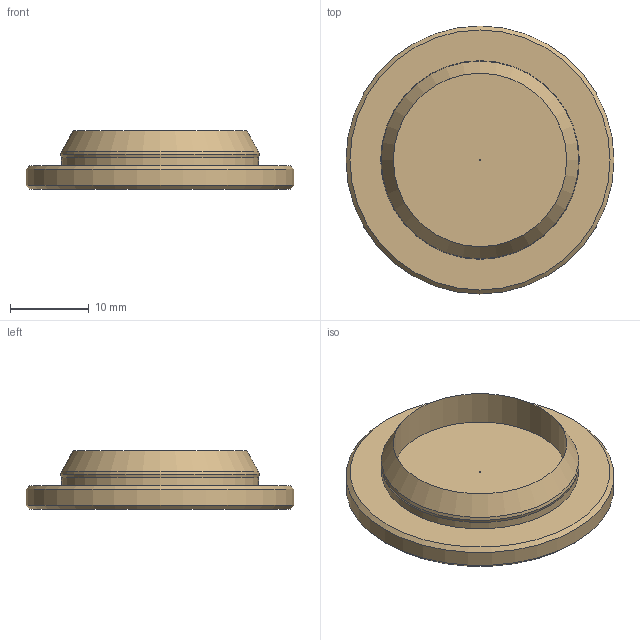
import cadquery as cq

flange_diameter = 34.0
flange_thickness = 3.0
flange_chamfer = 0.5

total_height = 7.4
bore_diameter = 22.0
neck_diameter = 25.0
neck_height = 1.0

ridge_projection = 0.1
ridge_half_height = 0.4

pinhole_diameter = 0.2


def make_flange():
    disc = cq.Workplane("XY").circle(flange_diameter / 2).extrude(flange_thickness)
    return disc.edges().chamfer(flange_chamfer)


def make_collar():
    """Revolved ring: straight neck, snap ridge, then a cone up to a sharp rim at the bore."""
    bore_radius = bore_diameter / 2
    neck_radius = neck_diameter / 2
    ridge_bottom = flange_thickness + neck_height
    ridge_crest = ridge_bottom + ridge_half_height
    ridge_top = ridge_crest + ridge_half_height
    profile = (
        cq.Workplane("XZ")
        .moveTo(bore_radius, 0)
        .lineTo(neck_radius, 0)
        .lineTo(neck_radius, ridge_bottom)
        .lineTo(neck_radius + ridge_projection, ridge_crest)
        .lineTo(neck_radius, ridge_top)
        .lineTo(bore_radius, total_height)
        .close()
    )
    return profile.revolve(360, (0, 0, 0), (0, 1, 0))


def make_pinhole():
    return cq.Workplane("XY").circle(pinhole_diameter / 2).extrude(flange_thickness)


result = make_flange().union(make_collar()).cut(make_pinhole())